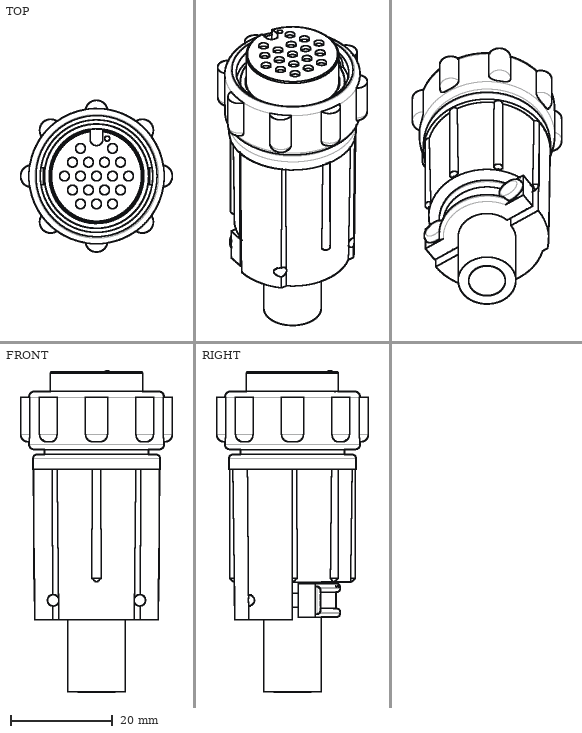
import cadquery as cq
import math

OVERLAP = 0.5

TOTAL_HEIGHT = 63.17
CORE_PROJECTION = 0.1
DOT_HEIGHT = 0.2
SHELL_BOTTOM_Z = 14.25
SHORT_SHELL_BOTTOM_Z = 21.65
COLLAR_BOTTOM_Z = 43.87
COLLAR_TOP_Z = 46.75
RING_BOTTOM_Z = 47.7
RING_TOP_Z = 59.15
PLUG_FACE_Z = TOTAL_HEIGHT - DOT_HEIGHT

CABLE_RADIUS = 5.68
CORE_RADIUS = 3.6

COLLAR_RADIUS = 12.5
COLLAR_EDGE = 0.8
WALL_TOP_RADIUS = 11.75
WALL_BOTTOM_RADIUS = 11.35
THICK_WALL_TOP_RADIUS = 12.42
THICK_WALL_BOTTOM_RADIUS = 12.14
STEP_TOP_Y = -8.85
STEP_BOTTOM_Y = -8.6
RIB_RADIUS = 0.9
RIB_END_CHAMFER = 0.7
RIB_TIP_RADIUS = 12.37
RIB_BOTTOM_Z = SHORT_SHELL_BOTTOM_Z + 0.1
SHORT_SIDE_RIB_ANGLES = (0, 45, 90, 135, 180)
LONG_SIDE_RIB_ANGLE = 270
SCREW_HOLE_DIAMETER = 2.25
SCREW_HOLE_X = 8.5
SCREW_HOLE_Z = 18.1
SCREW_HOLE_FLOOR_Y = -6.0

NECK_RADIUS = 10.25
RING_RADIUS = 13.3
RING_TOP_ROUND = 1.15
RING_BOTTOM_ROUND = 1.05
RING_LAND_WIDTH = 0.25
RING_MOUTH_RADIUS = RING_RADIUS - RING_TOP_ROUND - RING_LAND_WIDTH
RING_BORE_RADIUS = 11.05
RING_MOUTH_DEPTH = 0.7
RING_SEAT_Z = 56.1
GRIP_COUNT = 8
GRIP_RADIUS = 2.2
GRIP_REACH = 14.92
GRIP_BOTTOM_Z = 49.2
GRIP_END_ROUND = 1.5
KEY_INNER_X = 10.45
KEY_OUTER_X = RING_BORE_RADIUS + OVERLAP
KEY_RADIUS = 1.65

PLUG_RADIUS = 9.1
PLUG_CHAMFER = 0.25
GASKET_RADIUS = 9.77
GASKET_SECTION_RADIUS = 0.5
GASKET_RAISE = 0.2
CONTACT_PITCH = 3.15
CONTACT_ROW_COUNTS = (3, 4, 5, 4, 3)
CONTACT_DIAMETER = 1.9
CONTACT_DEPTH = 0.8
SLOT_WIDTH = 2.55
SLOT_INNER_Y = 6.0
DOT_RADIUS = 0.5
DOT_X = 2.1
DOT_Y = 7.38

CLAMP_BOTTOM_Z = 14.8
CLAMP_TOP_Z = 21.4
EAR_HALF_LENGTH = 11.6
EAR_INNER_Y = 1.17
EAR_OUTER_Y = 4.44
ARCH_RADIUS = 8.6
ARCH_RIDGE_RADIUS = 9.4
ARCH_RIDGE_WIDTH = 1.7
ARCH_RIDGE_ROUND = 0.75
CLAMP_SCREW_X = 8.8
CLAMP_SCREW_DIAMETER = 2.7
SCREW_HEAD_DIAMETER = 5.5
SCREW_HEAD_HEIGHT = 1.1
SCREW_HEAD_ROUND = 0.8


def disc(radius, bottom, top):
    return cq.Workplane("XY").workplane(offset=bottom).circle(radius).extrude(top - bottom)


def box(x_range, y_range, z_range):
    size = [high - low for low, high in (x_range, y_range, z_range)]
    corner = (x_range[0], y_range[0], z_range[0])
    return cq.Workplane("XY").box(*size, centered=False).translate(corner)


def cylinder_along_y(x, z, diameter, y_start, y_end):
    plane = cq.Plane(origin=(x, y_start, z), xDir=(1, 0, 0), normal=(0, 1, 0))
    return cq.Workplane(plane).circle(diameter / 2).extrude(y_end - y_start)


def polar(radius, angle):
    return (radius * math.cos(math.radians(angle)), radius * math.sin(math.radians(angle)))


def tapered_round(bottom_radius, top_radius):
    return cq.Solid.makeCone(
        bottom_radius, top_radius, COLLAR_BOTTOM_Z - SHELL_BOTTOM_Z, pnt=(0, 0, SHELL_BOTTOM_Z)
    )


def make_cable():
    jacket = disc(CABLE_RADIUS, CORE_PROJECTION, RING_BOTTOM_Z)
    return jacket.union(disc(CORE_RADIUS, 0, CORE_PROJECTION + OVERLAP))


def make_thick_wall():
    """Raised wall on both X sides, from Y = 0 to a drafted flat step near the -Y diagonals."""
    wall = cq.Workplane(tapered_round(THICK_WALL_BOTTOM_RADIUS, THICK_WALL_TOP_RADIUS))
    sector = (
        cq.Workplane("YZ")
        .moveTo(0, SHELL_BOTTOM_Z)
        .lineTo(STEP_BOTTOM_Y, SHELL_BOTTOM_Z)
        .lineTo(STEP_TOP_Y, COLLAR_BOTTOM_Z)
        .lineTo(0, COLLAR_BOTTOM_Z)
        .close()
        .extrude(COLLAR_RADIUS, both=True)
    )
    return wall.intersect(sector)


def make_rib(angle):
    x, y = polar(RIB_TIP_RADIUS - RIB_RADIUS, angle)
    rib = disc(RIB_RADIUS, RIB_BOTTOM_Z, COLLAR_BOTTOM_Z)
    return rib.faces("<Z").chamfer(RIB_END_CHAMFER).translate((x, y, 0))


def make_shell():
    shell = cq.Workplane(tapered_round(WALL_BOTTOM_RADIUS, WALL_TOP_RADIUS))
    side = 2 * COLLAR_RADIUS
    shell = shell.cut(box((-side, side), (0, side), (0, SHORT_SHELL_BOTTOM_Z)))
    shell = shell.union(make_thick_wall()).union(make_rib(LONG_SIDE_RIB_ANGLE))
    short_side = box((-side, side), (0, side), (0, COLLAR_BOTTOM_Z))
    for angle in SHORT_SIDE_RIB_ANGLES:
        shell = shell.union(make_rib(angle).intersect(short_side))
    for x in (-SCREW_HOLE_X, SCREW_HOLE_X):
        shell = shell.cut(
            cylinder_along_y(x, SCREW_HOLE_Z, SCREW_HOLE_DIAMETER, -COLLAR_RADIUS, SCREW_HOLE_FLOOR_Y)
        )
    collar = disc(COLLAR_RADIUS, COLLAR_BOTTOM_Z, COLLAR_TOP_Z).faces(">Z").edges().fillet(COLLAR_EDGE)
    return shell.union(collar)


def make_clamp():
    ears = box((-EAR_HALF_LENGTH, EAR_HALF_LENGTH), (EAR_INNER_Y, EAR_OUTER_Y), (CLAMP_BOTTOM_Z, CLAMP_TOP_Z))
    arch = disc(ARCH_RADIUS, CLAMP_BOTTOM_Z, CLAMP_TOP_Z)
    for bottom in (CLAMP_BOTTOM_Z, CLAMP_TOP_Z - ARCH_RIDGE_WIDTH):
        ridge = disc(ARCH_RIDGE_RADIUS, bottom, bottom + ARCH_RIDGE_WIDTH)
        arch = arch.union(ridge.edges().fillet(ARCH_RIDGE_ROUND))
    reach = ARCH_RIDGE_RADIUS
    clamp = ears.union(arch.intersect(box((-reach, reach), (EAR_INNER_Y, reach), (0, CLAMP_TOP_Z))))
    for x in (-CLAMP_SCREW_X, CLAMP_SCREW_X):
        head_top = EAR_OUTER_Y + SCREW_HEAD_HEIGHT
        head = cylinder_along_y(x, SCREW_HOLE_Z, SCREW_HEAD_DIAMETER, EAR_OUTER_Y, head_top)
        shank = cylinder_along_y(x, SCREW_HOLE_Z, CLAMP_SCREW_DIAMETER, -OVERLAP, EAR_OUTER_Y)
        clamp = clamp.union(head.faces(">Y").edges().fillet(SCREW_HEAD_ROUND)).union(shank)
    return clamp


def make_grip(index):
    grip_top = RING_TOP_Z - RING_TOP_ROUND
    grip = disc(GRIP_RADIUS, GRIP_BOTTOM_Z, grip_top).faces("<Z").edges().fillet(GRIP_END_ROUND)
    x, y = polar(GRIP_REACH - GRIP_RADIUS, index * 360 / GRIP_COUNT)
    return grip.translate((x, y, 0))


def make_coupling_ring():
    ring = disc(RING_RADIUS, RING_BOTTOM_Z, RING_TOP_Z)
    ring = ring.faces(">Z").edges().fillet(RING_TOP_ROUND)
    ring = ring.faces("<Z").edges().fillet(RING_BOTTOM_ROUND)
    for index in range(GRIP_COUNT):
        ring = ring.union(make_grip(index))
    mouth_bottom = RING_TOP_Z - RING_MOUTH_DEPTH
    mouth = cq.Solid.makeCone(RING_BORE_RADIUS, RING_MOUTH_RADIUS, RING_MOUTH_DEPTH, pnt=(0, 0, mouth_bottom))
    ring = ring.cut(disc(RING_BORE_RADIUS, RING_SEAT_Z, RING_TOP_Z)).cut(cq.Workplane(mouth))
    for x_start in (KEY_INNER_X, -KEY_OUTER_X):
        key = cq.Workplane("YZ").workplane(offset=x_start).center(0, RING_SEAT_Z).circle(KEY_RADIUS)
        ring = ring.union(key.extrude(KEY_OUTER_X - KEY_INNER_X))
    return ring.union(disc(NECK_RADIUS, COLLAR_TOP_Z, RING_BOTTOM_Z))


def contact_points():
    row_spacing = CONTACT_PITCH * math.sqrt(3) / 2
    middle_row = len(CONTACT_ROW_COUNTS) // 2
    points = []
    for row, count in enumerate(CONTACT_ROW_COUNTS):
        y = (row - middle_row) * row_spacing
        for column in range(count):
            x = (column - (count - 1) / 2) * CONTACT_PITCH
            beside_slot = row == len(CONTACT_ROW_COUNTS) - 1 and x == 0
            if not beside_slot:
                points.append((x, y))
    return points


def make_plug():
    plug = disc(PLUG_RADIUS, RING_SEAT_Z, PLUG_FACE_Z).faces(">Z").edges().chamfer(PLUG_CHAMFER)
    plug = plug.faces(">Z").workplane(origin=(0, 0, PLUG_FACE_Z))
    plug = plug.pushPoints(contact_points()).hole(CONTACT_DIAMETER, CONTACT_DEPTH)
    slot_center_y = SLOT_INNER_Y + SLOT_WIDTH / 2
    half_slot = SLOT_WIDTH / 2
    slot = disc(half_slot, RING_SEAT_Z, PLUG_FACE_Z).translate((0, slot_center_y, 0))
    slot = slot.union(
        box((-half_slot, half_slot), (slot_center_y, PLUG_RADIUS), (RING_SEAT_Z, PLUG_FACE_Z))
    )
    dot_sphere_radius = (DOT_RADIUS**2 + DOT_HEIGHT**2) / (2 * DOT_HEIGHT)
    dot = cq.Workplane("XY").sphere(dot_sphere_radius)
    dot = dot.translate((DOT_X, DOT_Y, TOTAL_HEIGHT - dot_sphere_radius))
    return plug.cut(slot).union(dot)


def make_gasket():
    gasket = cq.Solid.makeTorus(GASKET_RADIUS, GASKET_SECTION_RADIUS, pnt=(0, 0, RING_SEAT_Z + GASKET_RAISE))
    return cq.Workplane(gasket)


result = make_shell().union(make_cable()).union(make_clamp())
result = result.union(make_coupling_ring()).union(make_plug()).union(make_gasket())